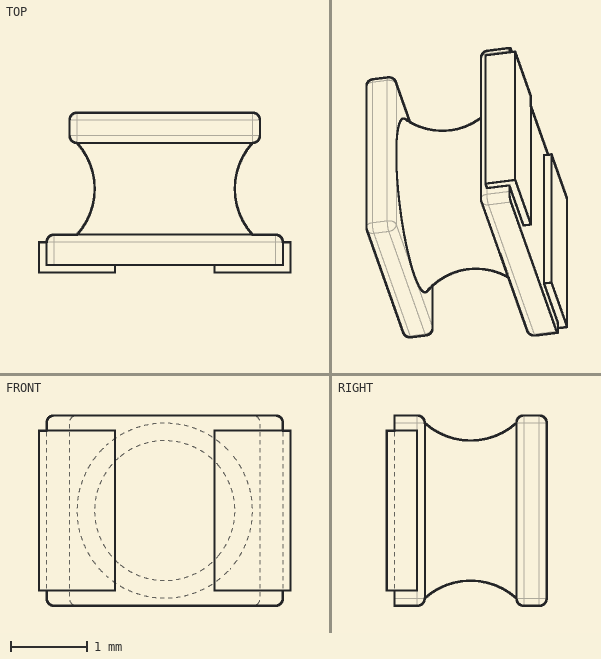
import cadquery as cq

flange_thickness = 0.4
flange_height = 2.5
edge_radius = 0.1

rear_flange_width = 2.5
base_flange_width = 3.1

core_length = 1.2
core_end_radius = flange_height / 2 - edge_radius
core_waist_radius = 0.92

terminal_width = 1.0
terminal_height = 2.1
terminal_depth = 0.4
terminal_plating = 0.1

base_front = terminal_plating
base_back = base_front + flange_thickness
core_middle = base_back + core_length / 2
rear_front = base_back + core_length


def box_from(y_start, width, depth, height, x_center=0):
    """Box centred on X and Z that grows in +Y from y_start."""
    return (
        cq.Workplane("XY")
        .box(width, depth, height, centered=(True, False, True))
        .translate((x_center, y_start, 0))
    )


def make_base_flange():
    """Flange carrying the terminals; its terminal face keeps sharp edges."""
    flange = box_from(base_front, base_flange_width, flange_thickness, flange_height)
    return flange.edges("|Y or >Y").fillet(edge_radius)


def make_rear_flange():
    """Free flange, rounded on every edge."""
    flange = box_from(rear_front, rear_flange_width, flange_thickness, flange_height)
    return flange.edges().fillet(edge_radius)


def make_core():
    """Waisted round core, revolved about the Y axis."""
    return (
        cq.Workplane("XY")
        .moveTo(0, base_back)
        .lineTo(core_end_radius, base_back)
        .threePointArc((core_waist_radius, core_middle), (core_end_radius, rear_front))
        .lineTo(0, rear_front)
        .close()
        .revolve(360, (0, 0, 0), (0, 1, 0))
    )


def make_terminal(side):
    """Terminal wrapping one end of the base flange; side is -1 or +1 along X."""
    outer_x = base_flange_width / 2 + terminal_plating
    x_center = side * (outer_x - terminal_width / 2)
    return box_from(0, terminal_width, terminal_depth, terminal_height, x_center)


result = make_base_flange().union(make_core()).union(make_rear_flange())
for side in (-1, 1):
    result = result.union(make_terminal(side))